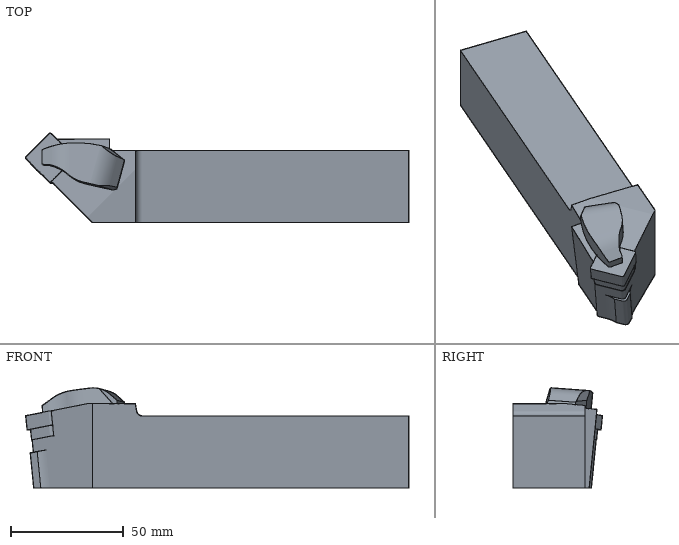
import cadquery as cq
import math


tool_length = 170.0
shank_size = 32.0
cutting_height = 32.0
cutting_offset = 40.0

head_top = 37.4
head_plan_width = 60.0
shoulder_end = 52.0
shoulder_radius = 2.5
shoulder_draft = math.radians(10)
block_length = 37.5
block_side = 37.0
side_recess = 0.8
front_recess = 1.25
top_corner_recess = 0.7
seat_corner_radius = 1.6

tilt_angle = 8.0
insert_size = 15.875
insert_thickness = 6.35
insert_corner_radius = 0.8
shim_thickness = 4.7
shim_inset = 0.6
shim_front_inset = 1.1

pad_depth = 16.7
pad_proud = 1.0
pad_flat = 5.4
pad_run = 4.7

clamp_height = 8.25
nose_end = 8.0
nose_corner_radius = 0.7
nose_line = 12.7
crown_start = 20.6
nose_slope = math.radians(30)
clamp_skew = 15.0
crown_end = 30.1
crown_end_side = -12.1
back_curve_run = 8.1
back_slope = math.radians(47)
nose_near_side = -3.4
nose_far_side = 3.2
near_bend_start = (10.9, -3.5)
near_bend_middle = (15.2, -5.0)
near_bend_end = (19.0, -7.4)
waist_middle = (22.7, -10.1)
waist_end = (26.6, -11.7)
back_length = 11.1
back_width = 14.0
far_side_end = (38.4, 3.4)
far_side_middle = (24.5, 5.7)
near_bevel_point = (34.4, -13.0, 8.0)
near_bevel_normal = (0.275, -0.905, 0.35)
far_bevel_point = (39.3, 1.4, 6.0)
far_bevel_normal = (0.6, 0.65, 0.3)

reach = 80.0
diagonal = math.sqrt(0.5)
corner_y = cutting_offset - insert_size * diagonal


def seat_point(along, back):
    """Plan point measured along the front cutting edge and squarely back from it."""
    return ((along + back) * diagonal, (along - back) * diagonal)


def on_seat(body):
    """Move a body from the level seat frame, with its origin at the insert corner, to the tool."""
    tipped = body.rotate((0, 0, 0), (1, 1, 0), -tilt_angle)
    return tipped.translate((0, corner_y, cutting_height))


def seat_prism(points, top, depth):
    return cq.Workplane("XY", origin=(0, 0, top - depth)).polyline(points).close().extrude(depth)


def seat_block(along_min, along_max, back_min, back_max, top, depth):
    """Rectangular block squared to the insert."""
    corners = [
        seat_point(along_min, back_min),
        seat_point(along_max, back_min),
        seat_point(along_max, back_max),
        seat_point(along_min, back_max),
    ]
    return seat_prism(corners, top, depth)


def make_shank():
    """Side profile with the drafted shoulder up to the head, across the shank width."""
    arc_z = shank_size + shoulder_radius
    draft_x = shoulder_end - shoulder_radius * math.cos(shoulder_draft)
    draft_z = arc_z - shoulder_radius * math.sin(shoulder_draft)
    mid_angle = (math.pi / 2 + shoulder_draft) / 2
    mid = (
        shoulder_end - shoulder_radius * math.cos(mid_angle),
        arc_z - shoulder_radius * math.sin(mid_angle),
    )
    top_x = draft_x - (head_top - draft_z) * math.tan(shoulder_draft)
    return (
        cq.Workplane("XZ")
        .moveTo(0, 0)
        .lineTo(tool_length, 0)
        .lineTo(tool_length, shank_size)
        .lineTo(shoulder_end, shank_size)
        .threePointArc(mid, (draft_x, draft_z))
        .lineTo(top_x, head_top)
        .lineTo(0, head_top)
        .close()
        .extrude(-shank_size)
    )


def make_head_envelope():
    """Space filled by the head: everything behind its front, side and sloping top faces."""
    block_y = block_side - corner_y
    along_top = insert_size - top_corner_recess
    back_top = along_top - block_y / diagonal
    points = [
        seat_point(side_recess, front_recess),
        seat_point(along_top, front_recess),
        seat_point(along_top, back_top),
        (reach, block_y),
        seat_point(side_recess, reach),
    ]
    envelope = seat_prism(points, 0, reach)
    left_rounded = envelope.edges("|Z").edges("<X").fillet(seat_corner_radius)
    return left_rounded.edges("|Z").edges(">Y").fillet(seat_corner_radius)


def make_body():
    """Shank and head, with the head's support block beside the shank."""
    shank = make_shank()
    block = cq.Workplane("XY").box(block_length, head_plan_width, head_top, centered=False)
    front = cq.Workplane("XY").box(shoulder_end, head_plan_width, head_top, centered=False)
    head = shank.union(block).intersect(front).intersect(on_seat(make_head_envelope()))
    return head.union(shank.cut(front))


def make_pad():
    """Raised corner pad that fades into the front and side faces through hollow runouts."""
    along_0 = side_recess - pad_proud
    back_0 = front_recess - pad_proud
    front_end = along_0 + pad_flat + pad_run
    side_end = back_0 + pad_flat + pad_run
    runout_radius = (pad_run**2 + pad_proud**2) / (2 * pad_proud)
    half_angle = math.asin(pad_run / runout_radius) / 2
    middle_run = runout_radius * math.sin(half_angle)
    middle_height = runout_radius * (1 - math.cos(half_angle))
    pad = (
        cq.Workplane("XY", origin=(0, 0, -reach))
        .moveTo(*seat_point(along_0, back_0))
        .lineTo(*seat_point(along_0 + pad_flat, back_0))
        .threePointArc(
            seat_point(front_end - middle_run, front_recess - middle_height),
            seat_point(front_end, front_recess),
        )
        .lineTo(*seat_point(front_end, side_end))
        .lineTo(*seat_point(side_recess, side_end))
        .threePointArc(
            seat_point(side_recess - middle_height, side_end - middle_run),
            seat_point(along_0, back_0 + pad_flat),
        )
        .close()
        .extrude(reach - pad_depth)
    )
    return pad.edges("|Z").edges("<X").fillet(seat_corner_radius)


def make_shim():
    body = seat_block(
        shim_inset,
        insert_size - shim_inset,
        shim_front_inset,
        insert_size - shim_inset,
        -insert_thickness,
        shim_thickness,
    )
    return body.edges("|Z").fillet(seat_corner_radius)


def clamp_point(along, across):
    """Plan point at the clamp's skewed back end, measured from the end of the crown."""
    skew = math.radians(clamp_skew)
    return (
        crown_end + along * math.cos(skew) + across * math.sin(skew),
        crown_end_side - along * math.sin(skew) + across * math.cos(skew),
    )


def make_clamp_outline():
    """Upright clamp walls: straight nose, waisted near side, skewed back and bowed far side."""
    outline = (
        cq.Workplane("XY")
        .moveTo(nose_end, nose_far_side)
        .lineTo(nose_end, nose_near_side)
        .lineTo(*near_bend_start)
        .threePointArc(near_bend_middle, near_bend_end)
        .threePointArc(waist_middle, waist_end)
        .lineTo(*clamp_point(back_length, 0))
        .lineTo(*clamp_point(back_length, back_width))
        .lineTo(*far_side_end)
        .threePointArc(far_side_middle, (nose_end, nose_far_side))
        .close()
        .extrude(clamp_height)
    )
    return outline.edges("|Z and <X").fillet(nose_corner_radius)


def make_nose_profile():
    """Crown over the clamp's front: a sloping nose rounding into the flat top."""
    run = crown_start - nose_line
    radius = run / math.sin(nose_slope)
    line_height = clamp_height - radius * (1 - math.cos(nose_slope))
    end_height = line_height - (nose_line - nose_end) * math.tan(nose_slope)
    middle = (
        crown_start - radius * math.sin(nose_slope / 2),
        clamp_height - radius * (1 - math.cos(nose_slope / 2)),
    )
    return (
        cq.Workplane("XZ", origin=(0, reach / 2, 0))
        .moveTo(nose_end, 0)
        .lineTo(nose_end, end_height)
        .lineTo(nose_line, line_height)
        .threePointArc(middle, (crown_start, clamp_height))
        .lineTo(reach, clamp_height)
        .lineTo(reach, 0)
        .close()
        .extrude(reach)
    )


def make_back_profile():
    """Crown over the clamp's skewed back end: the flat top rounding into a sloping back."""
    radius = back_curve_run / math.sin(back_slope)
    line_height = clamp_height - radius * (1 - math.cos(back_slope))
    foot = back_curve_run + line_height / math.tan(back_slope)
    middle = (
        radius * math.sin(back_slope / 2),
        clamp_height - radius * (1 - math.cos(back_slope / 2)),
    )
    profile = (
        cq.Workplane("XZ", origin=(0, reach / 2, 0))
        .moveTo(-reach, 0)
        .lineTo(-reach, clamp_height)
        .lineTo(0, clamp_height)
        .threePointArc(middle, (back_curve_run, line_height))
        .lineTo(foot, 0)
        .close()
        .extrude(reach)
    )
    turned = profile.rotate((0, 0, 0), (0, 0, 1), -clamp_skew)
    return turned.translate((crown_end, crown_end_side, 0))


def make_bevel(point, normal):
    """Large block beyond a plane, for cutting a sloping face."""
    plane = cq.Plane(origin=point, normal=normal)
    return cq.Workplane(plane).rect(reach, reach).extrude(reach)


def make_clamp():
    crowned = make_clamp_outline().intersect(make_nose_profile()).intersect(make_back_profile())
    near_bevel = make_bevel(near_bevel_point, near_bevel_normal)
    far_bevel = make_bevel(far_bevel_point, far_bevel_normal)
    return crowned.cut(near_bevel).cut(far_bevel)


def make_insert():
    body = seat_block(0, insert_size, 0, insert_size, 0, insert_thickness)
    return on_seat(body.edges("|Z").fillet(insert_corner_radius))


def make_holder():
    """Shank and head with the insert pocket cut, joined by the pad, the shim and the clamp."""
    pocket_depth = insert_thickness + shim_thickness
    pocket = seat_block(-reach, insert_size, -reach, insert_size, 0, pocket_depth)
    above_base = cq.Workplane("XY").box(reach, reach, reach, centered=(True, True, False))
    pad = on_seat(make_pad()).intersect(above_base.translate((0, corner_y, 0)))
    seated = make_body().cut(on_seat(pocket)).union(pad)
    return seated.union(on_seat(make_shim())).union(on_seat(make_clamp()))


holder = make_holder()
insert = make_insert()
result = cq.Compound.makeCompound([holder.val(), insert.val()])